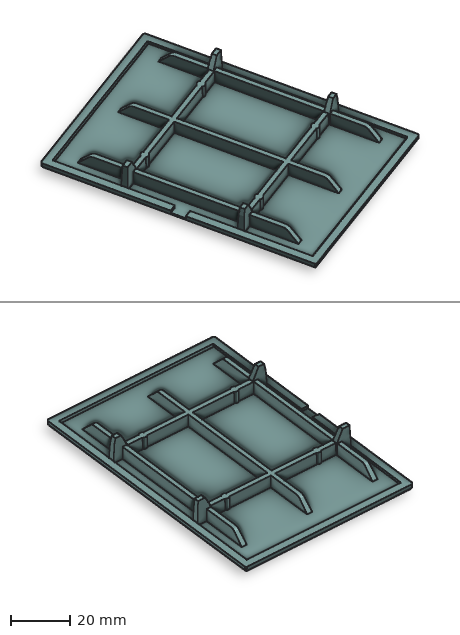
import cadquery as cq

LENGTH = 106.2
WIDTH = 73.5
TOTAL_HEIGHT = 13.0

RIM_HEIGHT = 4.0
RIM_WIDTH_X = 3.1
RIM_WIDTH_Y = 3.0
RIM_DRAFT_X = 0.3
RIM_BAND = 0.4
UNDERSIDE_INSET = 3.8
CORNER_RADIUS = 0.8
POCKET_DEPTH = 1.1
NOTCH_WIDTH = 5.8
FLOOR = RIM_HEIGHT - POCKET_DEPTH

RIB_TOP = 8.0
LONG_RIB_TOP_WIDTH = 1.9
CROSS_RIB_TOP_WIDTH = 2.0
RIB_FOOT_WIDTH = 2.2
LONG_RIB_LENGTH = 85.0
LONG_RIB_TOP_LENGTH = 72.6
LONG_RIB_SPACING = 28.7
ROUND_LENGTH = 2.0
ROUND_DROP = 0.7
CROSS_RIB_X = 22.0

BUMP_RADIUS = 1.5
BUMP_Y = 20.1

POST_X = 22.4
POST_TOP_WIDTH = 1.9
POST_FOOT_WIDTH = 2.7
POST_FOOT_Y = 33.7
POST_OUTER_DRAFT = 0.4
POST_TOP_LENGTH = 3.1
POST_SLOPE_END_Y = 27.5
BEVEL_DEPTH = 0.6
BEVEL_HEIGHT = 2.9

EMBED = 0.5


def plate_section(plane, span, depth):
    """Plate cross-section of the given span, extruded symmetrically to the given depth."""
    half = span / 2
    shoulder = RIM_HEIGHT - RIM_BAND
    return (
        cq.Workplane(plane)
        .moveTo(0, 0)
        .lineTo(half - UNDERSIDE_INSET, 0)
        .tangentArcPoint((half, shoulder), relative=False)
        .lineTo(half, RIM_HEIGHT)
        .lineTo(0, RIM_HEIGHT)
        .mirrorY()
        .extrude(depth / 2, both=True)
    )


def drafted_bar(plane, foot_width, top_width, top, length):
    """Bar of trapezoidal section standing on the floor, centred along its length."""
    slope = (foot_width - top_width) / 2 / (top - FLOOR)
    bottom_half = foot_width / 2 + slope * EMBED
    return (
        cq.Workplane(plane)
        .polyline([
            (-bottom_half, FLOOR - EMBED),
            (bottom_half, FLOOR - EMBED),
            (top_width / 2, top),
            (-top_width / 2, top),
        ])
        .close()
        .extrude(length / 2, both=True)
    )


def make_plate():
    outline = (
        cq.Workplane("XY")
        .rect(LENGTH, WIDTH)
        .extrude(RIM_HEIGHT)
        .edges("|Z")
        .fillet(CORNER_RADIUS)
    )
    plate = (
        outline
        .intersect(plate_section("XZ", LENGTH, WIDTH))
        .intersect(plate_section("YZ", WIDTH, LENGTH))
    )
    pocket_half = LENGTH / 2 - RIM_WIDTH_X
    pocket = (
        cq.Workplane("XZ")
        .polyline([
            (-pocket_half, RIM_HEIGHT),
            (-pocket_half + RIM_DRAFT_X, FLOOR),
            (pocket_half - RIM_DRAFT_X, FLOOR),
            (pocket_half, RIM_HEIGHT),
        ])
        .close()
        .extrude(WIDTH / 2 - RIM_WIDTH_Y, both=True)
    )
    notch = (
        cq.Workplane("XY", origin=(0, -WIDTH / 2, FLOOR))
        .rect(NOTCH_WIDTH, 2 * RIM_WIDTH_Y)
        .extrude(POCKET_DEPTH)
    )
    return plate.cut(pocket).cut(notch)


def make_long_rib():
    """Rib along X with sloped ends that curve into its flat top."""
    foot_half = LONG_RIB_LENGTH / 2
    top_half = LONG_RIB_TOP_LENGTH / 2
    outline = (
        cq.Workplane("XZ")
        .moveTo(0, RIB_TOP)
        .lineTo(top_half, RIB_TOP)
        .tangentArcPoint((top_half + ROUND_LENGTH, RIB_TOP - ROUND_DROP), relative=False)
        .lineTo(foot_half, FLOOR)
        .lineTo(foot_half, FLOOR - EMBED)
        .lineTo(0, FLOOR - EMBED)
        .mirrorY()
        .extrude(RIB_FOOT_WIDTH, both=True)
    )
    bar = drafted_bar("YZ", RIB_FOOT_WIDTH, LONG_RIB_TOP_WIDTH, RIB_TOP, LONG_RIB_LENGTH)
    return bar.intersect(outline)


def make_cross_rib():
    """Rib along Y with a round thickening near each end."""
    rib = drafted_bar("XZ", RIB_FOOT_WIDTH, CROSS_RIB_TOP_WIDTH, RIB_TOP, 2 * LONG_RIB_SPACING)
    bumps = (
        cq.Workplane("XY", origin=(0, 0, FLOOR - EMBED))
        .pushPoints([(0, -BUMP_Y), (0, BUMP_Y)])
        .circle(BUMP_RADIUS)
        .extrude(RIB_TOP - FLOOR + EMBED)
    )
    return rib.union(bumps)


def make_post(bevelled):
    """Post at the +Y end of a cross rib; its inner edge slopes down to the rib top."""
    top_y = POST_FOOT_Y - POST_OUTER_DRAFT
    if bevelled:
        outer_edge = [(top_y, TOTAL_HEIGHT - BEVEL_HEIGHT), (top_y - BEVEL_DEPTH, TOTAL_HEIGHT)]
    else:
        outer_edge = [(top_y, TOTAL_HEIGHT)]
    side = (
        cq.Workplane("YZ")
        .polyline([
            (POST_SLOPE_END_Y, FLOOR - EMBED),
            (POST_FOOT_Y, FLOOR - EMBED),
            *outer_edge,
            (top_y - POST_TOP_LENGTH, TOTAL_HEIGHT),
            (POST_SLOPE_END_Y, RIB_TOP),
        ])
        .close()
        .extrude(POST_FOOT_WIDTH, both=True)
    )
    bar = drafted_bar("XZ", POST_FOOT_WIDTH, POST_TOP_WIDTH, TOTAL_HEIGHT, WIDTH)
    return bar.intersect(side)


result = make_plate()

for row in (-1, 0, 1):
    result = result.union(make_long_rib().translate((0, row * LONG_RIB_SPACING, 0)))

for side_x in (-1, 1):
    result = result.union(make_cross_rib().translate((side_x * CROSS_RIB_X, 0, 0)))
    post = make_post(bevelled=side_x > 0).translate((side_x * POST_X, 0, 0))
    result = result.union(post).union(post.mirror("XZ"))